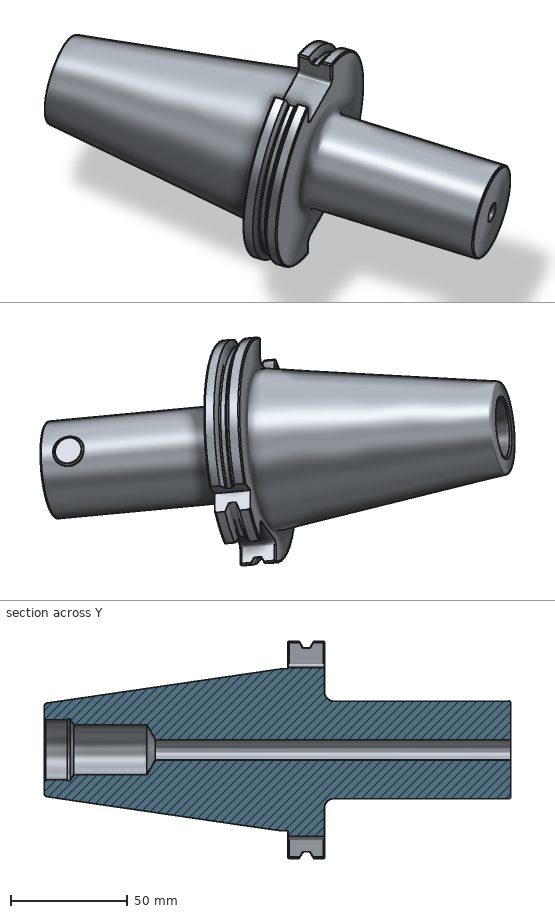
import cadquery as cq
import math

TOTAL_LENGTH = 200.7

GAUGE_X = 101.8
GAUGE_RADIUS = 35.0
TAPER_ON_DIAMETER = 7 / 24
TAPER_SLOPE = TAPER_ON_DIAMETER / 2
TAIL_RADIUS = GAUGE_RADIUS - GAUGE_X * TAPER_SLOPE
TAIL_FILLET = 1.6

FLANGE_DIAMETER = 97.3
FLANGE_RADIUS = FLANGE_DIAMETER / 2
FLANGE_START = 104.8
FLANGE_WIDTH = 15.9
FLANGE_END = FLANGE_START + FLANGE_WIDTH
FLANGE_CHAMFER = 0.6
FLANGE_ROOT_FILLET = 0.5

GROOVE_X = FLANGE_START + 8.0
GROOVE_DEPTH = 3.0
GROOVE_FLOOR_WIDTH = 3.0
GROOVE_FLOOR_FILLET = 0.8
GROOVE_FLANK_ANGLE = 30
GROOVE_MOUTH_WIDTH = GROOVE_FLOOR_WIDTH + 2 * GROOVE_DEPTH * math.tan(math.radians(GROOVE_FLANK_ANGLE))

SLOT_WIDTH = 25.7
SLOT_FILLET = 1.8
SLOT_CHAMFER = 0.7
TOP_SLOT_FLOOR = 35.5
BOTTOM_SLOT_FLOOR = 37.1

NOTCH_Y = 30.0
NOTCH_Z = -29.7

NOSE_RADIUS = 21.0
NOSE_ROOT_FILLET = 4.0
NOSE_CHAMFER = 0.6

PILOT_RADIUS = 12.8
PILOT_DEPTH = 10.0
PILOT_CHAMFER = 0.8
RELIEF_RADIUS = 13.2
RELIEF_WIDTH = 1.2
RELIEF_END = PILOT_DEPTH + RELIEF_WIDTH
THREAD_RADIUS = 10.6
THREAD_LEAD_IN = 1.6
THREAD_START = RELIEF_END + THREAD_LEAD_IN
THREAD_DEPTH = 44.2
THROUGH_RADIUS = 4.32
DRILL_TIP_ANGLE = 60
DRILL_TIP_LENGTH = (THREAD_RADIUS - THROUGH_RADIUS) / math.tan(math.radians(DRILL_TIP_ANGLE))

SCREW_X = TOTAL_LENGTH - 12.6
SCREW_RADIUS = 6.8
SCREW_CHAMFER = 1.0
SCREW_LENGTH = 12.0


def revolve_about_x(profile):
    return profile.close().revolve(360, (0, 0, 0), (1, 0, 0))


def turned_blank():
    floor_radius = FLANGE_RADIUS - GROOVE_DEPTH
    arc_middle = 1 - math.sqrt(0.5)
    flange_root = FLANGE_ROOT_FILLET * arc_middle
    nose_root = NOSE_ROOT_FILLET * arc_middle
    profile = (
        cq.Workplane("XZ")
        .lineTo(0, TAIL_RADIUS)
        .lineTo(GAUGE_X, GAUGE_RADIUS)
        .lineTo(FLANGE_START - FLANGE_ROOT_FILLET, GAUGE_RADIUS)
        .threePointArc(
            (FLANGE_START - flange_root, GAUGE_RADIUS + flange_root),
            (FLANGE_START, GAUGE_RADIUS + FLANGE_ROOT_FILLET),
        )
        .lineTo(FLANGE_START, FLANGE_RADIUS - FLANGE_CHAMFER)
        .lineTo(FLANGE_START + FLANGE_CHAMFER, FLANGE_RADIUS)
        .lineTo(GROOVE_X - GROOVE_MOUTH_WIDTH / 2, FLANGE_RADIUS)
        .lineTo(GROOVE_X - GROOVE_FLOOR_WIDTH / 2, floor_radius)
        .lineTo(GROOVE_X + GROOVE_FLOOR_WIDTH / 2, floor_radius)
        .lineTo(GROOVE_X + GROOVE_MOUTH_WIDTH / 2, FLANGE_RADIUS)
        .lineTo(FLANGE_END - FLANGE_CHAMFER, FLANGE_RADIUS)
        .lineTo(FLANGE_END, FLANGE_RADIUS - FLANGE_CHAMFER)
        .lineTo(FLANGE_END, NOSE_RADIUS + NOSE_ROOT_FILLET)
        .threePointArc(
            (FLANGE_END + nose_root, NOSE_RADIUS + nose_root),
            (FLANGE_END + NOSE_ROOT_FILLET, NOSE_RADIUS),
        )
        .lineTo(TOTAL_LENGTH - NOSE_CHAMFER, NOSE_RADIUS)
        .lineTo(TOTAL_LENGTH, NOSE_RADIUS - NOSE_CHAMFER)
        .lineTo(TOTAL_LENGTH, 0)
    )
    blank = revolve_about_x(profile).faces("<X").edges().fillet(TAIL_FILLET)
    reach = (GROOVE_FLOOR_WIDTH + GROOVE_MOUTH_WIDTH) / 4
    floor_edges = cq.selectors.BoxSelector(
        (GROOVE_X - reach, -FLANGE_RADIUS, -FLANGE_RADIUS),
        (GROOVE_X + reach, FLANGE_RADIUS, FLANGE_RADIUS),
    )
    return blank.edges("%CIRCLE").edges(floor_edges).fillet(GROOVE_FLOOR_FILLET)


def stepped_bore():
    profile = (
        cq.Workplane("XZ")
        .lineTo(0, PILOT_RADIUS + PILOT_CHAMFER)
        .lineTo(PILOT_CHAMFER, PILOT_RADIUS)
        .lineTo(PILOT_DEPTH, PILOT_RADIUS)
        .lineTo(PILOT_DEPTH, RELIEF_RADIUS)
        .lineTo(RELIEF_END, RELIEF_RADIUS)
        .lineTo(RELIEF_END, PILOT_RADIUS)
        .lineTo(THREAD_START, THREAD_RADIUS)
        .lineTo(THREAD_DEPTH, THREAD_RADIUS)
        .lineTo(THREAD_DEPTH + DRILL_TIP_LENGTH, THROUGH_RADIUS)
        .lineTo(TOTAL_LENGTH, THROUGH_RADIUS)
        .lineTo(TOTAL_LENGTH, 0)
    )
    return revolve_about_x(profile)


def drive_slot(floor):
    """Cutter for a slot opening toward +Z, with rounded floor corners and chamfered wall edges."""
    half = SLOT_WIDTH / 2
    depth = FLANGE_RADIUS - floor
    channel = (
        cq.Workplane("XY")
        .box(FLANGE_WIDTH, SLOT_WIDTH, depth, centered=(False, True, False))
        .edges("|X and <Z")
        .fillet(SLOT_FILLET)
    )
    rim_z = math.sqrt(FLANGE_RADIUS**2 - (half + SLOT_CHAMFER) ** 2) - floor
    flare_start = rim_z - SLOT_CHAMFER
    flare = depth - flare_start
    mouth = (
        cq.Workplane("YZ")
        .polyline([
            (-half, flare_start),
            (half, flare_start),
            (half + flare, depth),
            (-half - flare, depth),
        ])
        .close()
        .extrude(FLANGE_WIDTH)
    )
    cutter = channel.union(mouth)
    for face_x, inward in ((0, 1), (FLANGE_WIDTH, -1)):
        wedge = (
            cq.Workplane("XY", origin=(0, 0, SLOT_FILLET))
            .polyline([
                (face_x, -half - SLOT_CHAMFER),
                (face_x, half + SLOT_CHAMFER),
                (face_x + inward * SLOT_CHAMFER, half),
                (face_x + inward * SLOT_CHAMFER, -half),
            ])
            .close()
            .extrude(depth - SLOT_FILLET)
        )
        cutter = cutter.union(wedge)
    return cutter.translate((FLANGE_START, 0, floor))


def corner_notch():
    size = FLANGE_RADIUS
    return (
        cq.Workplane("XY")
        .box(FLANGE_WIDTH, size, size, centered=False)
        .translate((FLANGE_START, NOTCH_Y, NOTCH_Z - size))
    )


def radial_cylinder(radius, length):
    """Cylinder along Y whose outer end is level with the crest of the nose."""
    return cq.Workplane("XZ", origin=(SCREW_X, NOSE_RADIUS, 0)).circle(radius).extrude(length)


def make_holder():
    top_slot = drive_slot(TOP_SLOT_FLOOR)
    bottom_slot = drive_slot(BOTTOM_SLOT_FLOOR).mirror("XY")
    return (
        turned_blank()
        .cut(stepped_bore())
        .cut(top_slot)
        .cut(bottom_slot)
        .cut(corner_notch())
        .cut(radial_cylinder(SCREW_RADIUS, SCREW_LENGTH))
    )


def make_set_screw():
    screw = radial_cylinder(SCREW_RADIUS, SCREW_LENGTH)
    return screw.faces(">Y").chamfer(SCREW_CHAMFER)


holder = make_holder()
set_screw = make_set_screw()
result = cq.Compound.makeCompound([holder.val(), set_screw.val()])